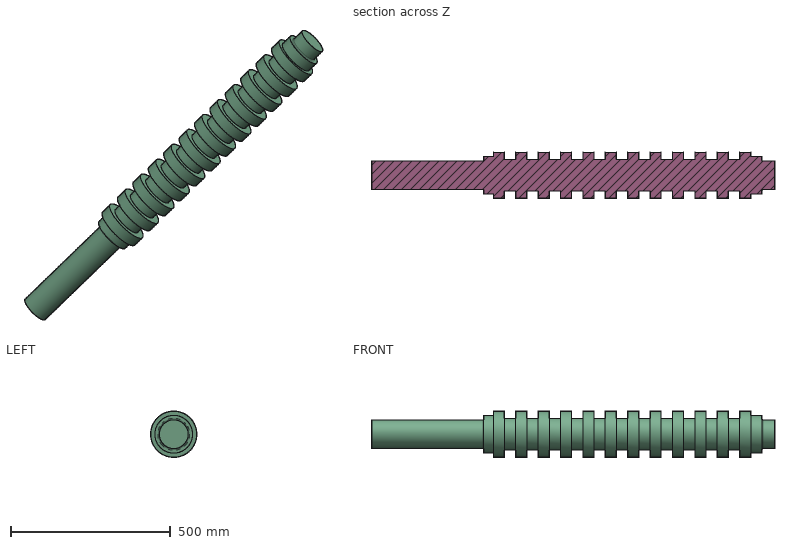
import cadquery as cq

total_length = 1260.0
long_journal_length = 350.0
left_collar_width = 30.0
right_collar_width = 35.0

journal_radius = 90.0 / 2
collar_radius = 118.0 / 2
groove_radius = 100.0 / 2
ring_radius = 145.0 / 2

ring_count = 12
ring_width = 35.0
groove_width = 35.0
shoulder_fillet = 2.5

ring_pitch = ring_width + groove_width
left_collar_end = long_journal_length + left_collar_width
right_collar_start = left_collar_end + ring_count * ring_pitch - groove_width
right_collar_end = right_collar_start + right_collar_width

fillet_radius_on_face = journal_radius + shoulder_fillet


def add_long_journal(outline):
    """Left end face and long journal, rounded into the left collar face."""
    outline = outline.lineTo(0, -journal_radius)
    outline = outline.lineTo(long_journal_length - shoulder_fillet, -journal_radius)
    return outline.radiusArc((long_journal_length, -fillet_radius_on_face), shoulder_fillet)


def add_collar(outline, start, end):
    """Plain cylindrical collar between two stations."""
    return outline.lineTo(start, -collar_radius).lineTo(end, -collar_radius)


def add_rings(outline):
    """Evenly spaced rings with a groove between each neighbouring pair."""
    for index in range(ring_count):
        ring_start = left_collar_end + index * ring_pitch
        ring_end = ring_start + ring_width
        if index > 0:
            outline = outline.lineTo(ring_start - groove_width, -groove_radius)
            outline = outline.lineTo(ring_start, -groove_radius)
        outline = outline.lineTo(ring_start, -ring_radius)
        outline = outline.lineTo(ring_end, -ring_radius)
    return outline


def add_short_journal(outline):
    """Right collar face rounded into the short journal, and right end face."""
    outline = outline.lineTo(right_collar_end, -fillet_radius_on_face)
    outline = outline.radiusArc((right_collar_end + shoulder_fillet, -journal_radius), shoulder_fillet)
    outline = outline.lineTo(total_length, -journal_radius)
    return outline.lineTo(total_length, 0)


half_outline = add_long_journal(cq.Workplane("XY"))
half_outline = add_collar(half_outline, long_journal_length, left_collar_end)
half_outline = add_rings(half_outline)
half_outline = add_collar(half_outline, right_collar_start, right_collar_end)
half_outline = add_short_journal(half_outline)

result = half_outline.close().revolve(360, (0, 0, 0), (1, 0, 0))